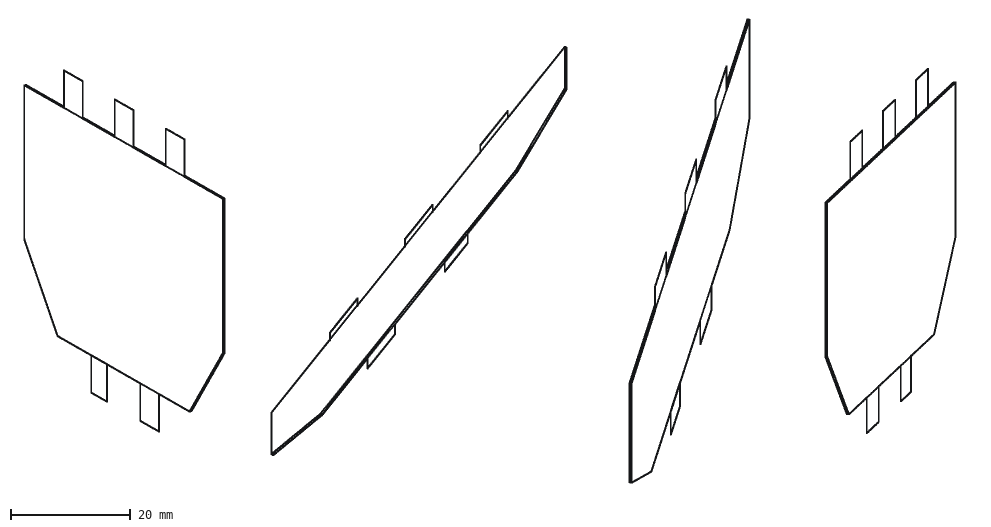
import cadquery as cq

WIDTH = 80.15
PLATE_HEIGHT = 40.15
CORNER_CUT = 13.5
TOTAL_THICKNESS = 0.38
FRONT_THICKNESS = 0.05
BACK_THICKNESS = TOTAL_THICKNESS - FRONT_THICKNESS

TOTAL_HEIGHT = 53.1
TAB_LENGTH = (TOTAL_HEIGHT - PLATE_HEIGHT) / 2
TAB_PITCH = 20.5
TAB_SHIFT = 0.25
NARROW_TAB_THICKNESS = FRONT_THICKNESS
WIDE_TAB = 7.5
NARROW_TAB = 6.3

FRONT_Y = -TOTAL_THICKNESS / 2
JOINT_Y = FRONT_Y + FRONT_THICKNESS
TOP_TAB_CENTRES = [-TAB_PITCH, 0, TAB_PITCH]
BOTTOM_TAB_OFFSET = TAB_PITCH / 2


def sheet(front_y, thickness):
    """Rectangular sheet with its two lower corners cut at 45 degrees."""
    half_width = WIDTH / 2
    half_height = PLATE_HEIGHT / 2
    outline = [
        (-half_width, half_height),
        (half_width, half_height),
        (half_width, CORNER_CUT - half_height),
        (half_width - CORNER_CUT, -half_height),
        (CORNER_CUT - half_width, -half_height),
        (-half_width, CORNER_CUT - half_height),
    ]
    return cq.Workplane("XZ", origin=(0, front_y, 0)).polyline(outline).close().extrude(-thickness)


def tab(centre_x, side, width, front_y, thickness):
    """Tab on the top (side = 1) or bottom (side = -1) edge of a sheet."""
    centre_z = side * (PLATE_HEIGHT + TAB_LENGTH) / 2
    plane = cq.Workplane("XZ", origin=(centre_x + TAB_SHIFT, front_y, centre_z))
    return plane.rect(width, TAB_LENGTH).extrude(-thickness)


def make_front_foil():
    """Thin front foil with three tabs above and one below."""
    body = sheet(FRONT_Y, FRONT_THICKNESS)
    for centre_x in TOP_TAB_CENTRES:
        body = body.union(tab(centre_x, 1, WIDE_TAB, FRONT_Y, FRONT_THICKNESS))
    return body.union(tab(BOTTOM_TAB_OFFSET, -1, WIDE_TAB, FRONT_Y, FRONT_THICKNESS))


def make_back_plate():
    """Thicker back plate with a single narrower tab below, flush with its front face."""
    narrow_tab = tab(-BOTTOM_TAB_OFFSET, -1, NARROW_TAB, JOINT_Y, NARROW_TAB_THICKNESS)
    return sheet(JOINT_Y, BACK_THICKNESS).union(narrow_tab)


front_foil = make_front_foil()
back_plate = make_back_plate()

result = cq.Compound.makeCompound([front_foil.val(), back_plate.val()])